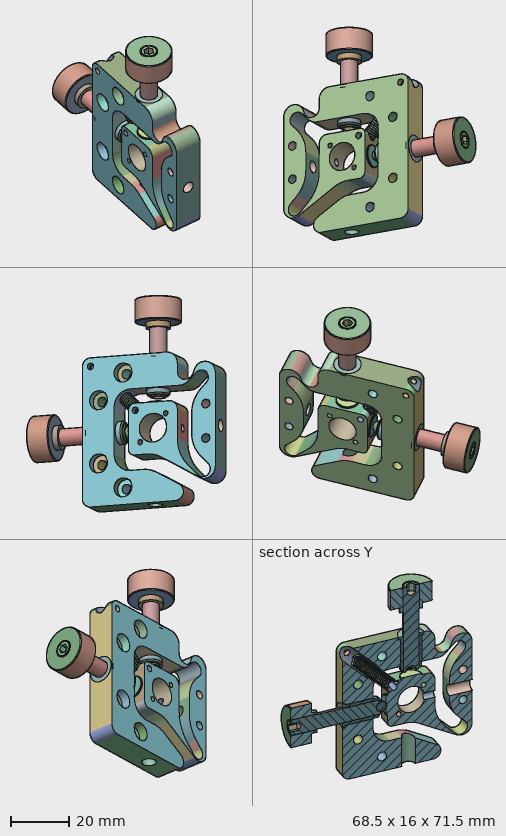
import cadquery as cq
import math


PLATE_WIDTH = 49.0
PLATE_HEIGHT = 52.0
PLATE_THICKNESS = 10.0
PLATE_CORNER_RADIUS = 3.0
TAPER_SLOPE = math.tan(math.radians(30))

BLOCK_SIZE = 18.0
BLOCK_LEFT = 17.0
BLOCK_BOTTOM = 17.0
BLOCK_RIGHT = BLOCK_LEFT + BLOCK_SIZE
BLOCK_TOP = BLOCK_BOTTOM + BLOCK_SIZE
AXIS_X = BLOCK_LEFT + BLOCK_SIZE / 2
AXIS_Z = BLOCK_BOTTOM + BLOCK_SIZE / 2
BLOCK_SMALL_RADIUS = 2.0
BLOCK_LARGE_RADIUS = 3.0
BLOCK_TAPER_START = 26.5

GAP = 5.25
CAVITY_LEFT = BLOCK_LEFT - GAP
CAVITY_BOTTOM = BLOCK_BOTTOM - GAP
CAVITY_TOP = 40.1
CAVITY_RADIUS = 6.0
ARM_RIGHT = BLOCK_RIGHT
ARM_CORNER_RADIUS = 4.0
JAW_TAPER_START = 25.1
JAW_TIP = JAW_TAPER_START + CAVITY_BOTTOM / TAPER_SLOPE
TAPER_RADIUS = 10.0

BAR_LEFT = BLOCK_RIGHT + GAP
BAR_TOP = 47.8
BAR_END_RADIUS = 4.0
BAR_BOTTOM_CORNER = BLOCK_BOTTOM - (PLATE_WIDTH - BLOCK_TAPER_START) * TAPER_SLOPE
NOTCH_BOTTOM = 42.0
NOTCH_RADIUS = 3.0
NOTCH_FLANK_LOW_X = 40.14
NOTCH_FLANK_HIGH_X = 42.15

UPPER_SLOT_RADIUS = 2.65
UPPER_SLOT_X = 43.75
UPPER_SLOT_Z = 42.2
LOWER_SLOT_RADIUS = GAP / 2
LOWER_SLOT_X = 44.5
LOWER_SLOT_Z = 10.2
BLOCK_BEND_RADIUS = 14.0
BAR_BEND_RADIUS = 12.0
ARM_HINGE_RADIUS = 5.0

APERTURE_DIAMETER = 10.0
MOUNT_HOLE_DIAMETER = 3.3
MOUNT_BORE_DIAMETER = 6.6
MOUNT_BORE_DEPTH = 3.4
MOUNT_NEAR_EDGE = 6.0
MOUNT_FAR_EDGE = 15.0
BAR_HOLE_DIAMETER = 3.0
BAR_HOLE_X = 45.5
BAR_HOLE_CENTRE_Z = 27.0
BAR_HOLE_SPACING = 12.0
PIN_HOLE_DIAMETER = 2.2
FRAME_PIN_X = 3.0
FRAME_PIN_Z = PLATE_HEIGHT - 3.0
BLOCK_PIN_X = 19.5
BLOCK_PIN_Z = FRAME_PIN_Z - (BLOCK_PIN_X - FRAME_PIN_X)
OPTIC_HOLE_DIAMETER = 1.7
OPTIC_HOLE_OFFSET = 4.7
CLAMP_HOLE_DIAMETER = 2.5
BAR_ACCESS_DIAMETER = 4.2
JAW_ACCESS_DIAMETER = 5.0
JAW_ACCESS_X = 25.0

SEAT_DIAMETER = 8.0
SEAT_HEIGHT = 0.55
SEAT_CHAMFER = 0.2

SPRING_BORE_DIAMETER = 5.5
SPRING_OUTER_DIAMETER = 4.6
SPRING_WIRE_DIAMETER = 0.68
SPRING_PITCH = 0.75
SPRING_FRAME_CLEARANCE = 3.0
SPRING_BLOCK_CLEARANCE = 1.5
PIN_DISTANCE = math.hypot(BLOCK_PIN_X - FRAME_PIN_X, BLOCK_PIN_Z - FRAME_PIN_Z)

SCREW_DIAMETER = 6.0
KNOB_OUTER_FACE = 19.5
SCREW_TIP_DEPTH = 14.6
SCREW_END_CHAMFER = 0.4
SCREW_TIP_CHAMFER = 0.4
SOCKET_ACROSS_FLATS = 3.0
SOCKET_DEPTH = 3.0
SOCKET_POINT_DEPTH = 0.9
KNOB_DIAMETER = 16.0
KNOB_HEIGHT = 8.0
KNOB_CHAMFER = 0.3
HUB_DIAMETER = 8.5
HUB_HEIGHT = 2.0
BUSHING_DIAMETER = 8.0
BUSHING_DEPTH = 14.0
BUSHING_CHAMFER = 0.5
FLANGE_DIAMETER = 9.4
FLANGE_THICKNESS = 1.0
BALL_DIAMETER = 4.0
BALL_DEPTH = 14.7

SHORTEST_LINE = 1e-6


def front_face():
    """Workplane on the -Y face of the plate."""
    return cq.Workplane("XZ", origin=(0, -PLATE_THICKNESS / 2, 0))


def rounded_outline(corners):
    """Closed X-Z outline through (x, z, radius) corners, each rounded by a tangent arc."""
    arcs = []
    for i, (x, z, radius) in enumerate(corners):
        corner = cq.Vector(x, z, 0)
        previous = cq.Vector(*corners[i - 1][:2], 0)
        following = cq.Vector(*corners[(i + 1) % len(corners)][:2], 0)
        back = (previous - corner).normalized()
        ahead = (following - corner).normalized()
        half_angle = back.getAngle(ahead) / 2
        tangent_length = radius / math.tan(half_angle)
        apex_distance = radius / math.sin(half_angle) - radius
        apex = corner + (back + ahead).normalized() * apex_distance
        arcs.append((corner + back * tangent_length, apex, corner + ahead * tangent_length))

    outline = front_face().moveTo(*arcs[0][0].toTuple()[:2])
    position = arcs[0][0]
    for start, apex, end in arcs:
        if (start - position).Length > SHORTEST_LINE:
            outline = outline.lineTo(start.x, start.y)
        outline = outline.threePointArc((apex.x, apex.y), (end.x, end.y))
        position = end
    return outline.close()


def plate_blank():
    """Plate with the jaw, the hinged bar and the moving block in one outline."""
    upper_corner = UPPER_SLOT_RADIUS * math.sqrt(2)
    lower_corner = LOWER_SLOT_RADIUS * math.sqrt(2)
    upper_slot_right = UPPER_SLOT_X + upper_corner
    upper_slot_top = UPPER_SLOT_Z + upper_corner
    lower_slot_right = LOWER_SLOT_X + lower_corner
    lower_slot_bottom = LOWER_SLOT_Z - lower_corner
    corners = [
        (0, 0, PLATE_CORNER_RADIUS),
        (0, PLATE_HEIGHT, PLATE_CORNER_RADIUS),
        (ARM_RIGHT, PLATE_HEIGHT, ARM_CORNER_RADIUS),
        (ARM_RIGHT, NOTCH_BOTTOM, NOTCH_RADIUS),
        (NOTCH_FLANK_LOW_X, NOTCH_BOTTOM, NOTCH_RADIUS),
        (NOTCH_FLANK_HIGH_X, BAR_TOP, BAR_END_RADIUS),
        (PLATE_WIDTH, BAR_TOP, BAR_END_RADIUS),
        (PLATE_WIDTH, BAR_BOTTOM_CORNER, BAR_END_RADIUS),
        (BLOCK_TAPER_START, BLOCK_BOTTOM, TAPER_RADIUS),
        (BLOCK_LEFT, BLOCK_BOTTOM, BLOCK_SMALL_RADIUS),
        (BLOCK_LEFT, BLOCK_TOP, BLOCK_SMALL_RADIUS),
        (BLOCK_RIGHT, BLOCK_TOP, BLOCK_LARGE_RADIUS),
        (BLOCK_RIGHT, lower_slot_bottom + LOWER_SLOT_X - BLOCK_RIGHT, BLOCK_BEND_RADIUS),
        (LOWER_SLOT_X, lower_slot_bottom, LOWER_SLOT_RADIUS),
        (lower_slot_right, LOWER_SLOT_Z, LOWER_SLOT_RADIUS),
        (BAR_LEFT, LOWER_SLOT_Z + lower_slot_right - BAR_LEFT, BAR_BEND_RADIUS),
        (BAR_LEFT, UPPER_SLOT_Z - upper_slot_right + BAR_LEFT, BAR_BEND_RADIUS),
        (upper_slot_right, UPPER_SLOT_Z, UPPER_SLOT_RADIUS),
        (UPPER_SLOT_X, upper_slot_top, UPPER_SLOT_RADIUS),
        (UPPER_SLOT_X - upper_slot_top + CAVITY_TOP, CAVITY_TOP, ARM_HINGE_RADIUS),
        (CAVITY_LEFT, CAVITY_TOP, CAVITY_RADIUS),
        (CAVITY_LEFT, CAVITY_BOTTOM, CAVITY_RADIUS),
        (JAW_TAPER_START, CAVITY_BOTTOM, TAPER_RADIUS),
        (JAW_TIP, 0, PLATE_CORNER_RADIUS),
    ]
    return rounded_outline(corners).extrude(-PLATE_THICKNESS)


def cross_holes(diameter, points):
    """Cylinders through the plate thickness at (x, z) points."""
    return front_face().pushPoints(points).circle(diameter / 2).extrude(-PLATE_THICKNESS)


def mount_bores(points):
    """Screw-head bores sunk into the -Y face."""
    return front_face().pushPoints(points).circle(MOUNT_BORE_DIAMETER / 2).extrude(-MOUNT_BORE_DEPTH)


def rod_x(diameter, start, end):
    """Cylinder along X on the horizontal screw axis."""
    return cq.Workplane("YZ", origin=(start, 0, AXIS_Z)).circle(diameter / 2).extrude(end - start)


def rod_z(diameter, start, end, x=AXIS_X):
    """Cylinder along Z, on the vertical screw axis unless placed at another x."""
    return cq.Workplane("XY", origin=(x, 0, start)).circle(diameter / 2).extrude(end - start)


def spring_plane(distance):
    """Plane across the spring axis, set in from the frame pin towards the block pin."""
    axis_step = distance / math.sqrt(2)
    origin = (FRAME_PIN_X + axis_step, 0, FRAME_PIN_Z - axis_step)
    return cq.Plane(origin=origin, xDir=(0, 1, 0), normal=(1, 0, -1))


def to_top(shape):
    """Place an adjuster body on the upper edge; adjusters are built pointing out along +Z."""
    return shape.translate((AXIS_X, 0, PLATE_HEIGHT))


def to_left(shape):
    """Place an adjuster body on the left edge."""
    return shape.rotate((0, 0, 0), (0, 1, 0), -90).translate((0, 0, AXIS_Z))


def build_knob():
    bottom = KNOB_OUTER_FACE - KNOB_HEIGHT
    knob = cq.Workplane("XY", origin=(0, 0, bottom)).circle(KNOB_DIAMETER / 2).extrude(KNOB_HEIGHT)
    knob = knob.faces("|Z").edges().chamfer(KNOB_CHAMFER)
    hub = cq.Workplane("XY", origin=(0, 0, bottom)).circle(HUB_DIAMETER / 2).extrude(-HUB_HEIGHT)
    bore = cq.Workplane("XY").circle(SCREW_DIAMETER / 2).extrude(KNOB_OUTER_FACE)
    return knob.union(hub).cut(bore)


def build_ball():
    return cq.Workplane("XY", origin=(0, 0, -BALL_DEPTH)).sphere(BALL_DIAMETER / 2)


def build_screw():
    length = SCREW_TIP_DEPTH + KNOB_OUTER_FACE
    screw = cq.Workplane("XY", origin=(0, 0, -SCREW_TIP_DEPTH)).circle(SCREW_DIAMETER / 2).extrude(length)
    screw = screw.faces(">Z").chamfer(SCREW_END_CHAMFER)
    screw = screw.faces("<Z").chamfer(SCREW_TIP_CHAMFER)
    across_corners = SOCKET_ACROSS_FLATS / math.cos(math.pi / 6)
    socket = (
        cq.Workplane("XY", origin=(0, 0, KNOB_OUTER_FACE))
        .polygon(6, across_corners)
        .extrude(-SOCKET_DEPTH)
        .rotate((0, 0, 0), (0, 0, 1), 30)
    )
    drill_point = cq.Solid.makeCone(
        SOCKET_ACROSS_FLATS / 2,
        0,
        SOCKET_POINT_DEPTH,
        pnt=cq.Vector(0, 0, KNOB_OUTER_FACE - SOCKET_DEPTH),
        dir=cq.Vector(0, 0, -1),
    )
    return screw.cut(socket).cut(cq.Workplane(drill_point)).cut(build_ball())


def bushing_blank():
    sleeve = cq.Workplane("XY").circle(BUSHING_DIAMETER / 2).extrude(-BUSHING_DEPTH)
    sleeve = sleeve.faces("<Z").chamfer(BUSHING_CHAMFER)
    flange = cq.Workplane("XY").circle(FLANGE_DIAMETER / 2).extrude(-FLANGE_THICKNESS)
    return sleeve.union(flange)


def build_bushing():
    bore = cq.Workplane("XY").circle(SCREW_DIAMETER / 2).extrude(-BUSHING_DEPTH)
    return bushing_blank().cut(bore)


def build_spring():
    """Close-wound coil lying on the diagonal between the pin holes."""
    length = PIN_DISTANCE - SPRING_FRAME_CLEARANCE - SPRING_BLOCK_CLEARANCE
    coil_radius = (SPRING_OUTER_DIAMETER - SPRING_WIRE_DIAMETER) / 2
    path = cq.Workplane(cq.Wire.makeHelix(SPRING_PITCH, length, coil_radius))
    wire = cq.Workplane("XZ", origin=(coil_radius, 0, 0)).circle(SPRING_WIRE_DIAMETER / 2)
    coil = wire.sweep(path, isFrenet=True)
    return coil.val().moved(cq.Location(spring_plane(SPRING_FRAME_CLEARANCE)))


def build_frame():
    frame = plate_blank()

    left_seat = rod_x(SEAT_DIAMETER, BLOCK_LEFT - SEAT_HEIGHT, BLOCK_LEFT)
    left_seat = left_seat.faces("<X").chamfer(SEAT_CHAMFER)
    top_seat = rod_z(SEAT_DIAMETER, BLOCK_TOP, BLOCK_TOP + SEAT_HEIGHT)
    top_seat = top_seat.faces(">Z").chamfer(SEAT_CHAMFER)
    frame = frame.union(left_seat).union(top_seat)
    frame = frame.cut(to_left(build_ball()))

    mount_points = [
        (x, z)
        for x, inset in ((MOUNT_NEAR_EDGE, MOUNT_FAR_EDGE), (MOUNT_FAR_EDGE, MOUNT_NEAR_EDGE))
        for z in (inset, PLATE_HEIGHT - inset)
    ]
    bar_points = [(BAR_HOLE_X, BAR_HOLE_CENTRE_Z + side * BAR_HOLE_SPACING / 2) for side in (-1, 1)]
    pin_points = [(FRAME_PIN_X, FRAME_PIN_Z), (BLOCK_PIN_X, BLOCK_PIN_Z)]
    optic_points = [
        (AXIS_X + side * OPTIC_HOLE_OFFSET, AXIS_Z + side * OPTIC_HOLE_OFFSET) for side in (-1, 1)
    ]
    frame = frame.cut(cross_holes(APERTURE_DIAMETER, [(AXIS_X, AXIS_Z)]))
    frame = frame.cut(cross_holes(MOUNT_HOLE_DIAMETER, mount_points))
    frame = frame.cut(mount_bores(mount_points))
    frame = frame.cut(cross_holes(BAR_HOLE_DIAMETER, bar_points))
    frame = frame.cut(cross_holes(PIN_HOLE_DIAMETER, pin_points))
    frame = frame.cut(cross_holes(OPTIC_HOLE_DIAMETER, optic_points))

    bore_start = -2 * PLATE_CORNER_RADIUS
    bore = cq.Workplane(spring_plane(bore_start)).circle(SPRING_BORE_DIAMETER / 2)
    frame = frame.cut(bore.extrude(PIN_DISTANCE / 2 - bore_start))
    pocket = cq.Workplane(spring_plane(PIN_DISTANCE / 2)).circle(SPRING_OUTER_DIAMETER / 2)
    frame = frame.cut(pocket.extrude(PIN_DISTANCE / 2))

    frame = frame.cut(rod_x(CLAMP_HOLE_DIAMETER, AXIS_X, BLOCK_RIGHT))
    frame = frame.cut(rod_x(BAR_ACCESS_DIAMETER, BAR_LEFT, PLATE_WIDTH))
    jaw_access = rod_z(JAW_ACCESS_DIAMETER, 0, CAVITY_BOTTOM, JAW_ACCESS_X)
    frame = frame.cut(jaw_access)

    return frame.cut(to_top(bushing_blank())).cut(to_left(bushing_blank()))


frame = build_frame()
spring = build_spring()
ball = to_left(build_ball())
bodies = [*frame.solids().vals(), spring, *ball.solids().vals()]
for place in (to_top, to_left):
    for build in (build_knob, build_screw, build_bushing):
        bodies.extend(place(build()).solids().vals())

result = cq.Compound.makeCompound(bodies)